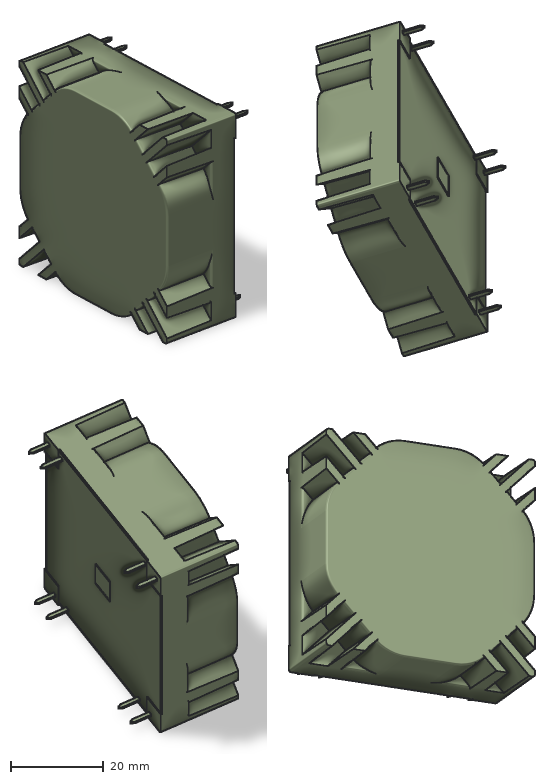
import cadquery as cq
import math

SIDE = 49.7
HOUSING_DEPTH = 19.5
CORNER_EDGE_RADIUS = 0.6
POCKET_DEPTH = 12.45
LIP_RADIUS = 0.55

CAN_FLAT_HALF = 6.05
CAN_CORNER_RADIUS = 10.15

RIB_TIP_WIDTH = 2.0
RIB_PITCH = 5.5
RIB_DRAFT_DEGREES = 1.0

RECESS_DEPTH = 0.2
STEP_HEIGHT = 0.2
STEP_WIDTH = 0.5
CORNER_PAD_SIDE = 6.0
CENTRE_PAD_SIDE = 6.15

PIN_WIDTH = 1.0
PIN_THICKNESS = 0.5
PIN_LENGTH = 5.0
PIN_TIP_LENGTH = 0.85
PIN_TIP_WIDTH = 0.15
PIN_PITCH = 2.55
PINS_PER_SIDE = 4
PIN_ROW = 22.85

HALF_SIDE = SIDE / 2
RECESS_FLOOR = HOUSING_DEPTH - RECESS_DEPTH
STEP_FLOOR = RECESS_FLOOR - STEP_HEIGHT
PAD_INNER_EDGE = HALF_SIDE - CORNER_PAD_SIDE
ROOT_DEPTH = POCKET_DEPTH + LIP_RADIUS
DIAGONAL_ANGLES = (45, -45)


def block(y_start, y_end):
    """Full square block with rounded corner edges, between two depths."""
    return (
        cq.Workplane("XZ", origin=(0, y_start, 0))
        .rect(SIDE, SIDE)
        .extrude(y_start - y_end)
        .edges("|Y")
        .fillet(CORNER_EDGE_RADIUS)
    )


def make_base_slab():
    """Rear slab behind the pockets, with its front edge rounded."""
    return block(POCKET_DEPTH, STEP_FLOOR).faces("<Y").edges().fillet(LIP_RADIUS)


def make_can():
    """Octagonal can with rounded corners and a rounded front rim."""
    tangent_length = CAN_CORNER_RADIUS * math.tan(math.pi / 8)
    octagon_half = CAN_FLAT_HALF + tangent_length
    corners = [
        (octagon_half, HALF_SIDE),
        (HALF_SIDE, octagon_half),
        (HALF_SIDE, -octagon_half),
        (octagon_half, -HALF_SIDE),
        (-octagon_half, -HALF_SIDE),
        (-HALF_SIDE, -octagon_half),
        (-HALF_SIDE, octagon_half),
        (-octagon_half, HALF_SIDE),
    ]
    can = cq.Workplane("XZ").polyline(corners).close().extrude(-ROOT_DEPTH)
    can = can.edges("|Y").fillet(CAN_CORNER_RADIUS)
    return can.faces("<Y").edges().fillet(LIP_RADIUS)


def diagonal_bar(angle, offset, tip_width, y_start, y_end):
    """Bar along a diagonal, its section widening toward +Y with the rib draft."""
    draft = math.tan(math.radians(RIB_DRAFT_DEGREES))
    start_half = tip_width / 2 + y_start * draft
    end_half = tip_width / 2 + y_end * draft
    section = [
        (y_start, offset - start_half),
        (y_end, offset - end_half),
        (y_end, offset + end_half),
        (y_start, offset + start_half),
    ]
    bar = cq.Workplane("YZ").polyline(section).close().extrude(SIDE, both=True)
    return bar.rotate((0, 0, 0), (0, 1, 0), angle)


def make_ribs():
    """Drafted ribs, with the square-edged floor between them, trimmed to the outer sides."""
    floor_width = 2 * RIB_PITCH
    ribs = cq.Workplane("XZ")
    for angle in DIAGONAL_ANGLES:
        for offset in (-RIB_PITCH, 0, RIB_PITCH):
            ribs = ribs.union(diagonal_bar(angle, offset, RIB_TIP_WIDTH, 0, ROOT_DEPTH))
        ribs = ribs.union(diagonal_bar(angle, 0, floor_width, POCKET_DEPTH, ROOT_DEPTH))
    return ribs.intersect(block(0, ROOT_DEPTH))


def make_mounting_face():
    """Recess floor inside the edge step, with the corner pads and the centre pad."""
    pad_spacing = SIDE - CORNER_PAD_SIDE
    pad_height = HOUSING_DEPTH - STEP_FLOOR
    floor_side = SIDE - 2 * STEP_WIDTH
    step_plane = cq.Workplane("XZ", origin=(0, STEP_FLOOR, 0))
    recess_floor = step_plane.rect(floor_side, floor_side).extrude(-STEP_HEIGHT)
    corner_pads = (
        step_plane.rect(pad_spacing, pad_spacing, forConstruction=True)
        .vertices()
        .rect(CORNER_PAD_SIDE, CORNER_PAD_SIDE)
        .extrude(-pad_height)
    )
    centre_pad = step_plane.rect(CENTRE_PAD_SIDE, CENTRE_PAD_SIDE).extrude(-pad_height)
    face = recess_floor.union(corner_pads).union(centre_pad)
    return face.intersect(block(STEP_FLOOR, HOUSING_DEPTH))


def make_housing():
    """The one-piece housing."""
    housing = make_base_slab().union(make_can()).union(make_ribs())
    return housing.union(make_mounting_face()).clean()


def make_pin(x, z, seat):
    """Pin that stands on the mounting face at depth `seat`, its taper seen across its width."""
    tip = HOUSING_DEPTH + PIN_LENGTH
    shoulder = tip - PIN_TIP_LENGTH
    outline = [
        (x - PIN_WIDTH / 2, seat),
        (x + PIN_WIDTH / 2, seat),
        (x + PIN_WIDTH / 2, shoulder),
        (x + PIN_TIP_WIDTH / 2, tip),
        (x - PIN_TIP_WIDTH / 2, tip),
        (x - PIN_WIDTH / 2, shoulder),
    ]
    pin = cq.Workplane("XY", origin=(0, 0, z)).polyline(outline).close()
    return pin.extrude(PIN_THICKNESS / 2, both=True)


def make_pins():
    """Mirrored left and right pins that alternate between the upper and the lower row."""
    pins = []
    for side in (-1, 1):
        for place in range(PINS_PER_SIDE):
            distance = PIN_ROW - place * PIN_PITCH
            row = PIN_ROW if place % 2 == 0 else -PIN_ROW
            seat = HOUSING_DEPTH if distance > PAD_INNER_EDGE else RECESS_FLOOR
            pins.append(make_pin(side * distance, row, seat))
    return pins


housing = make_housing()
pins = make_pins()
result = cq.Compound.makeCompound([housing.val(), *[pin.val() for pin in pins]])